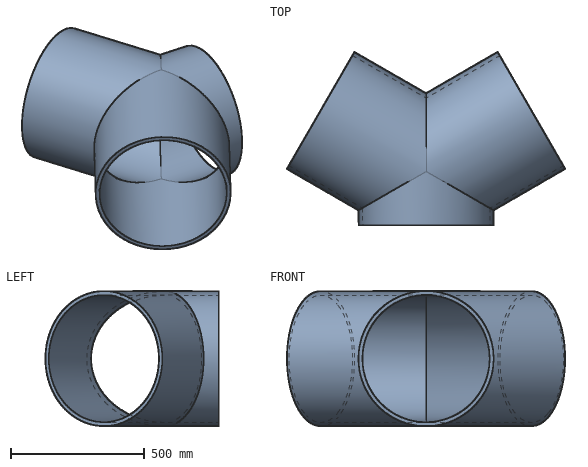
import math

import cadquery as cq

OUTER_DIAMETER = 508.0
INNER_DIAMETER = 477.88
INLET_LENGTH = 203.2
BRANCH_LENGTH = 457.2

INLET_ANGLE = -90.0
BRANCH_ANGLES = (30.0, 150.0)
MITRE_ANGLE = 60.0

PIPES = [(INLET_ANGLE, INLET_LENGTH)] + [(angle, BRANCH_LENGTH) for angle in BRANCH_ANGLES]


def mitre_wedge(length):
    """Wedge about +X that holds everything nearer to this pipe than to its neighbours."""
    half_width = length * math.tan(math.radians(MITRE_ANGLE))
    outline = [(0, 0), (length, -half_width), (length, half_width)]
    return cq.Workplane("XY").polyline(outline).close().extrude(OUTER_DIAMETER, both=True)


def mitred_pipe(angle, length):
    """Pipe running from the junction at the given angle, pointed to fit its neighbours."""
    tube = (
        cq.Workplane("YZ")
        .circle(OUTER_DIAMETER / 2)
        .circle(INNER_DIAMETER / 2)
        .extrude(length)
    )
    return tube.intersect(mitre_wedge(length)).rotate((0, 0, 0), (0, 0, 1), angle)


result = cq.Workplane("XY")
for pipe_angle, pipe_length in PIPES:
    result = result.union(mitred_pipe(pipe_angle, pipe_length))